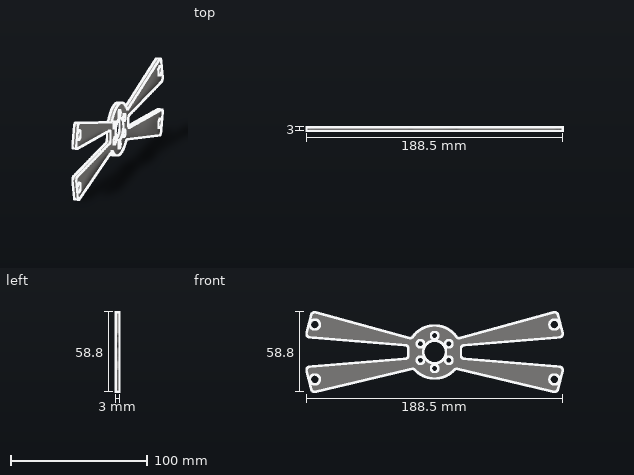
import cadquery as cq

thickness = 3.0
hub_radius = 19.6
bore_radius = 8.3
bolt_radius = 2.6
bolt_circle_radius = 12.0
bolt_count = 6

tip_outer_x, tip_outer_z = 90.0, 30.0
tip_inner_x, tip_inner_z = 95.0, 11.0
root_x = 13.2
upper_root_z = 8.9
lower_root_z = 11.7

slot_root_x = 19.5
slot_root_half_height = 4.7
slot_overrun = 1.9

tip_hole_x, tip_hole_z = 88.0, 20.2
tip_hole_radius = 3.5

tip_fillet = 2.8
slot_fillet = 2.3
neck_fillet = 2.3


def back_face():
    """Sketch plane on the +Y face; extruding by the thickness centres the plate on Y = 0."""
    return cq.Workplane("XZ", origin=(0, thickness / 2, 0))


def plate(points):
    return back_face().polyline(points).close().extrude(thickness)


def discs(centers, radius):
    return back_face().pushPoints(centers).circle(radius).extrude(thickness)


def arm_pair_blank(side):
    """Both arms on one side, with the space between them still filled."""
    return plate([
        (side * root_x, upper_root_z),
        (side * tip_outer_x, tip_outer_z),
        (side * tip_inner_x, tip_inner_z),
        (side * tip_inner_x, -tip_inner_z),
        (side * tip_outer_x, -tip_outer_z),
        (side * root_x, -lower_root_z),
    ])


def arm_slot(side):
    slope = (tip_inner_z - slot_root_half_height) / (tip_inner_x - slot_root_x)
    mouth_x = tip_inner_x + slot_overrun
    mouth_z = tip_inner_z + slope * slot_overrun
    return plate([
        (side * slot_root_x, slot_root_half_height),
        (side * mouth_x, mouth_z),
        (side * mouth_x, -mouth_z),
        (side * slot_root_x, -slot_root_half_height),
    ])


def round_corners(body, x_range, z_range, radius):
    """Round the through-thickness edges in a box and in its mirror images."""
    for side in (-1, 1):
        for level in (-1, 1):
            box = cq.selectors.BoxSelector(
                (side * x_range[0], -thickness, level * z_range[0]),
                (side * x_range[1], thickness, level * z_range[1]),
            )
            body = body.edges("|Y").edges(box).fillet(radius)
    return body


body = discs([(0, 0)], hub_radius)
for side in (-1, 1):
    body = body.union(arm_pair_blank(side))
for side in (-1, 1):
    body = body.cut(arm_slot(side))

beyond_tip = tip_inner_x + slot_overrun
body = round_corners(body, (tip_hole_x, beyond_tip), (slot_root_half_height, 2 * tip_hole_z),
                     tip_fillet)
body = round_corners(body, (root_x, tip_hole_z), (0, upper_root_z), slot_fillet)
body = round_corners(body, (root_x, hub_radius), (upper_root_z, hub_radius), neck_fillet)

body = body.cut(discs([(0, 0)], bore_radius))
bolts = back_face().polarArray(bolt_circle_radius, 90, 360, bolt_count).circle(bolt_radius)
body = body.cut(bolts.extrude(thickness))
tip_centers = [(side * tip_hole_x, level * tip_hole_z) for side in (-1, 1) for level in (-1, 1)]
result = body.cut(discs(tip_centers, tip_hole_radius))